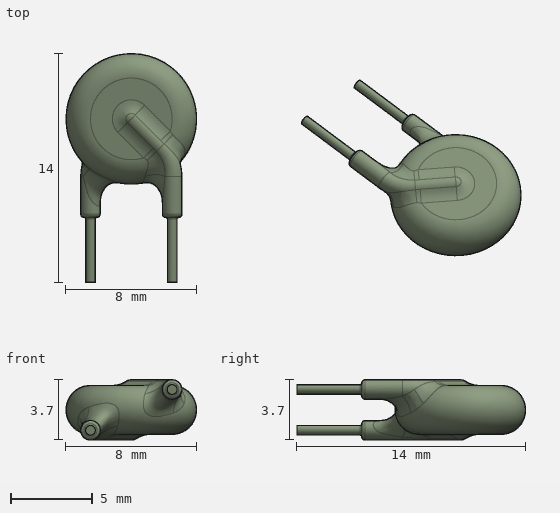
import cadquery as cq
import math

disc_radius = 4.0
disc_thickness = 3.0
edge_radius = disc_thickness / 2

lead_radius = 0.3
lead_pitch = 5.0
lead_height = 1.25
lead_tip_y = -10.0

sleeve_radius = 0.6
sleeve_straight_length = 2.5
sleeve_end_rounding = 0.2
wire_root_fillet = 0.1
bend_radius = 2.5
bend_angle = math.radians(45)
blend_radius = 1.5

lead_x = lead_pitch / 2
bend_tangent = bend_radius * math.tan(bend_angle / 2)
corner_y = -lead_x / math.tan(bend_angle)
bend_start = (
    lead_x - bend_tangent * math.sin(bend_angle),
    corner_y + bend_tangent * math.cos(bend_angle),
)
bend_end = (lead_x, corner_y - bend_tangent)
bend_middle = (
    lead_x - bend_radius * (1 - math.cos(bend_angle / 2)),
    bend_end[1] + bend_radius * math.sin(bend_angle / 2),
)
sleeve_end_y = bend_end[1] - sleeve_straight_length

contact_tolerance = 1e-3


def make_disc():
    """Flat disc with a fully rounded rim."""
    flat_radius = disc_radius - edge_radius
    half = disc_thickness / 2
    return (
        cq.Workplane("XZ")
        .moveTo(0, -half)
        .lineTo(-flat_radius, -half)
        .threePointArc((-disc_radius, 0), (-flat_radius, half))
        .lineTo(0, half)
        .close()
        .revolve(360, (0, 0, 0), (0, 1, 0))
    )


def make_sleeve():
    """Bent round sleeve with a domed inner end and a rounded outer end."""
    path = (
        cq.Workplane("XY", origin=(0, 0, lead_height))
        .lineTo(*bend_start)
        .threePointArc(bend_middle, bend_end)
        .lineTo(lead_x, sleeve_end_y)
    )
    section_plane = cq.Plane(
        origin=(0, 0, lead_height),
        xDir=(math.cos(bend_angle), math.sin(bend_angle), 0),
        normal=(math.sin(bend_angle), -math.cos(bend_angle), 0),
    )
    tube = cq.Workplane(section_plane).circle(sleeve_radius).sweep(path)
    dome = cq.Workplane("XY", origin=(0, 0, lead_height)).sphere(sleeve_radius)
    return tube.faces("<Y").edges().fillet(sleeve_end_rounding).union(dome)


def make_wire():
    """Straight bare wire, flared by a concave fillet where it meets the sleeve."""
    root_radius = lead_radius + wire_root_fillet
    fillet_end_y = sleeve_end_y - wire_root_fillet
    arc_offset = wire_root_fillet * (1 - math.sqrt(0.5))
    profile = (
        cq.Workplane("XY", origin=(lead_x, 0, lead_height))
        .moveTo(0, bend_end[1])
        .lineTo(root_radius, bend_end[1])
        .lineTo(root_radius, sleeve_end_y)
        .threePointArc(
            (lead_radius + arc_offset, sleeve_end_y - arc_offset),
            (lead_radius, fillet_end_y),
        )
        .lineTo(lead_radius, lead_tip_y)
        .lineTo(0, lead_tip_y)
        .close()
    )
    return profile.revolve(360, (0, 0, 0), (0, 1, 0))


def blend_sleeve(body, sleeve):
    """Join a sleeve to the body with a concave blend along their meeting edges."""

    def on_both(edge):
        middle = cq.Vertex.makeVertex(*edge.positionAt(0.5).toTuple())
        gaps = [middle.distance(shape.val()) for shape in (body, sleeve)]
        return max(gaps) < contact_tolerance

    joined = body.union(sleeve)
    meeting_edges = [edge for edge in joined.edges().vals() if on_both(edge)]
    return joined.newObject(meeting_edges).fillet(blend_radius)


def turn_over(shape):
    """Half turn about the Y axis, to the opposite lead."""
    return shape.rotate((0, 0, 0), (0, 1, 0), 180)


result = make_disc()
upper_sleeve = make_sleeve()
upper_wire = make_wire()
for sleeve in (upper_sleeve, turn_over(upper_sleeve)):
    result = blend_sleeve(result, sleeve)
for wire in (upper_wire, turn_over(upper_wire)):
    result = result.union(wire)